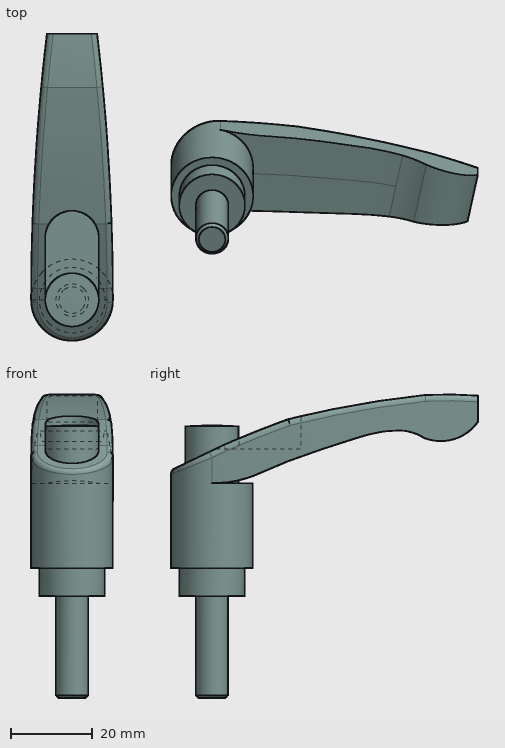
import cadquery as cq
import math

hub_radius = 10.01
hub_bottom = 31.7
collar_radius = 8.0
collar_bottom = 24.9
stud_radius = 4.0
stud_chamfer = 0.75

button_radius = 6.5
button_top = 66.65
button_dome = 0.3
slot_length = 15.2
slot_floor = 60.9

tip_y = 75 - hub_radius
tip_half_width = 6.15
arm_bottom = 52.5
edge_radius = 1.5
tip_top = (tip_y, 73.85)
crest = (57.35, 74.15)
grip_end = (51.9, 74.0)
back_mid = (35.5, 71.7)
slope_start = (18.6, 68.1)
slope_mid = (10.5, 65.0)
head_start = (2.85, 61.8)
nose_z = 55.6
tip_bottom = (tip_y, 67.5)
bulge_mid = (57.0, 62.75)
bulge_end = (51.7, 63.5)
neck_mid = (48.7, 64.85)
neck = (45.75, 65.3)
arm_upper = (32.9, 62.75)
arm_lower = (14.8, 56.2)
toward_hub = (-1, 0)


def plan_outline():
    """Lever seen along Z: round head with sides curving in to the tip."""
    inset = hub_radius - tip_half_width
    side_radius = (tip_y**2 + inset**2) / (2 * inset)
    half_angle = math.asin(tip_y / side_radius) / 2
    mid_x = hub_radius - side_radius * (1 - math.cos(half_angle))
    mid_y = side_radius * math.sin(half_angle)
    return (
        cq.Workplane("XY")
        .moveTo(-hub_radius, 0)
        .threePointArc((0, -hub_radius), (hub_radius, 0))
        .threePointArc((mid_x, mid_y), (tip_half_width, tip_y))
        .lineTo(-tip_half_width, tip_y)
        .threePointArc((-mid_x, mid_y), (-hub_radius, 0))
        .close()
    )


def lever():
    """Side profile trimmed to the plan outline, with rounded top edges."""
    profile = (
        cq.Workplane("YZ")
        .moveTo(-hub_radius, hub_bottom)
        .lineTo(-hub_radius, nose_z)
        .lineTo(*head_start)
        .threePointArc(slope_mid, slope_start)
        .threePointArc(back_mid, grip_end)
        .threePointArc(crest, tip_top)
        .lineTo(*tip_bottom)
        .threePointArc(bulge_mid, bulge_end)
        .threePointArc(neck_mid, neck)
        .spline([arm_upper, arm_lower, (0, arm_bottom)], [toward_hub, toward_hub], includeCurrent=True)
        .lineTo(0, hub_bottom)
        .close()
        .extrude(hub_radius, both=True)
    )
    body = plan_outline().extrude(button_top + hub_radius).intersect(profile)
    top_faces = [face for face in body.faces().vals() if face.normalAt().z > 0.5]
    rims = [
        edge
        for face in top_faces
        for edge in face.Edges()
        if abs(edge.Center().x) > tip_half_width / 2 or edge.Center().y < 0
    ]
    return body.newObject(rims).fillet(edge_radius)


def cylinder(radius, bottom, top):
    """Upright cylinder on the hub axis."""
    return cq.Workplane("XY").workplane(offset=bottom).circle(radius).extrude(top - bottom)


def push_button():
    """Cylinder with a slightly domed top."""
    dome_radius = (button_radius**2 + button_dome**2) / (2 * button_dome)
    dome = cq.Workplane("XY").sphere(dome_radius).translate((0, 0, button_top - dome_radius))
    return cylinder(button_radius, arm_bottom, button_top).intersect(dome)


rear_hub = (
    cq.Workplane("XY")
    .workplane(offset=hub_bottom)
    .moveTo(-hub_radius, 0)
    .threePointArc((0, hub_radius), (hub_radius, 0))
    .close()
    .extrude(arm_bottom - hub_bottom)
)
collar = cylinder(collar_radius, collar_bottom, hub_bottom)
stud = cylinder(stud_radius, 0, collar_bottom).faces("<Z").chamfer(stud_chamfer)
slot = (
    cq.Workplane("XY")
    .workplane(offset=slot_floor)
    .center(0, slot_length / 2)
    .slot2D(slot_length + 2 * button_radius, 2 * button_radius, 90)
    .extrude(hub_radius)
)

result = lever().union(rear_hub).cut(slot)
result = result.union(push_button()).union(collar).union(stud)